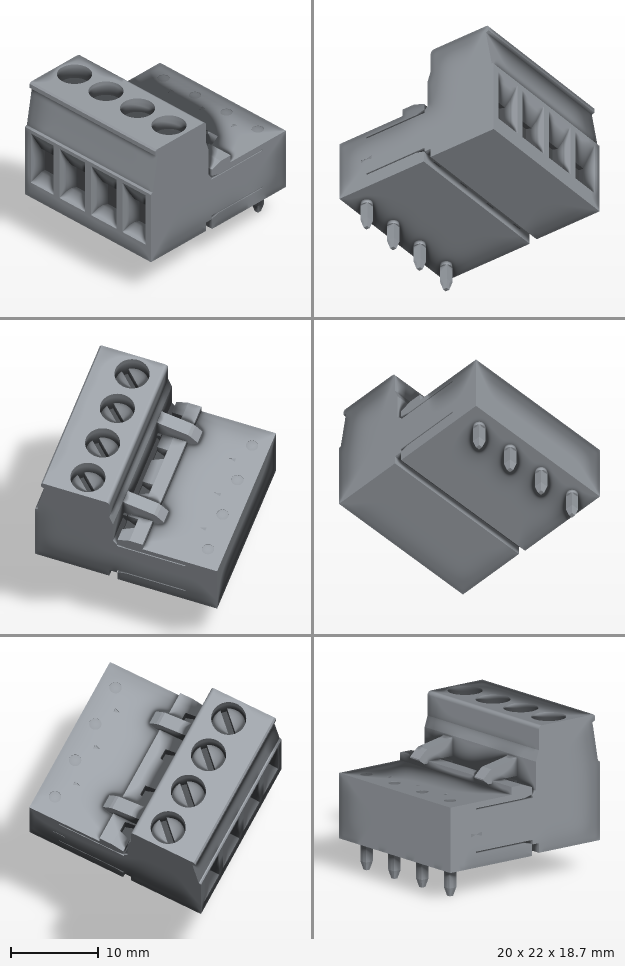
import cadquery as cq


POLES = 4
PITCH = 5.0
WIDTH = POLES * PITCH
POLE_X = [(i - (POLES - 1) / 2) * PITCH for i in range(POLES)]
DEPTH = 22.0
MARK_DEPTH = 0.05

PLUG_BOTTOM = 0.2
PLUG_TOP = 15.15
PLUG_BACK = 8.98
BACK_SHOULDER_Y = 9.42
NECK_ROOT_Y = 9.87
NECK_END_Y = 18.2
NECK_BOTTOM = 1.88
NECK_TOP = 6.8
WIRE_FACE_TOP = 9.55
SLANT_BOTTOM_Y = 0.28
SLANT_TOP_Y = 1.1
SLANT_TOP = 14.25
LIP_FRONT_Y = 0.73
LIP_BOTTOM = 14.4
LIP_CHAMFER = 0.2
WIRE_FACE_CHAMFER = 0.15
BACK_EDGE_RADIUS = 0.45
BACK_SLANT_TOP = 12.28
BACK_SLANT_BOTTOM = 11.0
ROOT_SLANT_TOP = 7.6
ROOT_SLANT_BOTTOM = 7.06
ROOT_STEP_BOTTOM = 1.34

SCREW_Y = 5.5
SCREW_HOLE_DIAMETER = 4.0
SCREW_DIAMETER = 3.78
SCREW_SINK = 1.75
SCREW_HEAD_HEIGHT = 1.2
SLOT_WIDTH = 0.8
SLOT_ANGLE = 45

FUNNEL_WIDTH = 4.05
FUNNEL_BOTTOM = 2.22
FUNNEL_TOP = 8.94
FUNNEL_DEPTH = 1.5
WAIST_WIDTH = 3.75
WAIST_FRACTION = 0.65
THROAT_WIDTH = 3.25
THROAT_BOTTOM = 3.04
THROAT_TOP = 6.24
THROAT_END_WIDTH = 2.75
THROAT_DEPTH = 0.6
END_WALL = 0.9
END_WALL_TAPER = 0.2

LATCH_WIDTH = 1.63
LATCH_X = 5.76
LATCH_UNDERSIDE = 8.62
LATCH_ROOT_TOP = 10.8
LATCH_ROOT_BEND = (9.75, 10.65)
LATCH_TOP_BEND = (13.15, 10.03)
HOOK_SLOPE_START = (13.5, 9.8)
HOOK_NOSE_Y = 14.34
HOOK_NOSE_TOP = 9.04
HOOK_NOSE_BOTTOM = 8.88
HOOK_BOTTOM = 8.33
HOOK_BOTTOM_BACK_Y = 13.57
HOOK_BOTTOM_FRONT_Y = 13.12
HOOK_CATCH_BOTTOM = 8.5
LATCH_RIB_TOP = 8.1

KEY_ROOT_WIDTH = 1.9
KEY_TIP_WIDTH = 1.25
KEY_BOTTOM = 1.0
KEY_CLEARANCE = 0.05

HEADER_FRONT_Y = 9.97
HEADER_TOP = 7.7
RIDGE_TOP = LATCH_UNDERSIDE
RIDGE_BACK_Y = 13.0
RIDGE_SLOPE_Y = 11.4
RIDGE_FRONT_TOP = 8.1
CAVITY_BOTTOM = 1.69
CAVITY_TOP = 6.98
LEAD_IN_Y = 11.05
LEAD_IN_RISE = 0.28
NOTCH_INNER_WIDTH = 1.25
NOTCH_MOUTH_WIDTH = 1.9
NOTCH_END_Y = 11.35

PIN_Y = 20.0
PIN_COLLAR_DIAMETER = 1.4
PIN_COLLAR_HEIGHT = 0.45
PIN_WIDTH = 1.0
PIN_LENGTH = 3.5
PIN_TIP_LENGTH = 1.0
PIN_TIP_WIDTH = 0.5

TOP_ARROW_Y = 18.87
TOP_ARROW_LENGTH = 0.75
TOP_ARROW_WIDTH = 0.5
SIDE_ARROW_Z = 3.88
SIDE_ARROW_LENGTH = 0.75
SIDE_ARROW_WIDTH = 0.45


def side_workplane(x_start):
    """Workplane at X = x_start whose local axes are Y and Z; extrusions go toward +X."""
    return cq.Workplane("YZ", origin=(x_start, 0, 0))


def box(x_range, y_range, z_range):
    sizes = [high - low for low, high in (x_range, y_range, z_range)]
    corner = (x_range[0], y_range[0], z_range[0])
    return cq.Workplane("XY").box(*sizes, centered=False).translate(corner)


def side_arrow(direction):
    """Triangle sunk into the -X face; its tip meets the joint line at the end of the neck."""
    base_y = NECK_END_Y + direction * SIDE_ARROW_LENGTH
    return (
        side_workplane(-WIDTH / 2)
        .moveTo(NECK_END_Y, SIDE_ARROW_Z)
        .lineTo(base_y, SIDE_ARROW_Z + SIDE_ARROW_WIDTH / 2)
        .lineTo(base_y, SIDE_ARROW_Z - SIDE_ARROW_WIDTH / 2)
        .close()
        .extrude(MARK_DEPTH)
    )


def guide_key(x, clearance):
    """Tapered key below the neck; with a clearance it is the groove that receives the key."""
    root = KEY_ROOT_WIDTH / 2 + clearance
    tip = KEY_TIP_WIDTH / 2 + clearance
    bottom = KEY_BOTTOM - clearance
    return (
        cq.Workplane("XZ", origin=(x, NECK_END_Y, 0))
        .moveTo(-root, NECK_BOTTOM)
        .lineTo(root, NECK_BOTTOM)
        .lineTo(tip, bottom)
        .lineTo(-tip, bottom)
        .close()
        .extrude(NECK_END_Y - NECK_ROOT_Y)
    )


def plug_block():
    """Side outline of the plug: tall screw block with a low neck that enters the header."""
    return (
        side_workplane(-WIDTH / 2)
        .moveTo(0, PLUG_BOTTOM)
        .lineTo(0, WIRE_FACE_TOP - WIRE_FACE_CHAMFER)
        .lineTo(WIRE_FACE_CHAMFER, WIRE_FACE_TOP)
        .lineTo(SLANT_BOTTOM_Y, WIRE_FACE_TOP)
        .lineTo(SLANT_TOP_Y, SLANT_TOP)
        .lineTo(LIP_FRONT_Y, LIP_BOTTOM)
        .lineTo(LIP_FRONT_Y, PLUG_TOP - LIP_CHAMFER)
        .lineTo(LIP_FRONT_Y + LIP_CHAMFER, PLUG_TOP)
        .lineTo(PLUG_BACK - BACK_EDGE_RADIUS, PLUG_TOP)
        .radiusArc((PLUG_BACK, PLUG_TOP - BACK_EDGE_RADIUS), BACK_EDGE_RADIUS)
        .lineTo(PLUG_BACK, BACK_SLANT_TOP)
        .lineTo(BACK_SHOULDER_Y, BACK_SLANT_BOTTOM)
        .lineTo(BACK_SHOULDER_Y, ROOT_SLANT_TOP)
        .lineTo(NECK_ROOT_Y, ROOT_SLANT_BOTTOM)
        .lineTo(NECK_ROOT_Y, NECK_TOP)
        .lineTo(NECK_END_Y, NECK_TOP)
        .lineTo(NECK_END_Y, NECK_BOTTOM)
        .lineTo(NECK_ROOT_Y, NECK_BOTTOM)
        .lineTo(NECK_ROOT_Y, ROOT_STEP_BOTTOM)
        .lineTo(PLUG_BACK, ROOT_STEP_BOTTOM)
        .lineTo(PLUG_BACK, PLUG_BOTTOM)
        .close()
        .extrude(WIDTH)
    )


def latch(x):
    """Hooked arm that reaches over the header ridge, with a rib below its root."""
    arm = (
        side_workplane(x - LATCH_WIDTH / 2)
        .moveTo(BACK_SHOULDER_Y, LATCH_ROOT_TOP)
        .lineTo(*LATCH_ROOT_BEND)
        .lineTo(*LATCH_TOP_BEND)
        .lineTo(*HOOK_SLOPE_START)
        .lineTo(HOOK_NOSE_Y, HOOK_NOSE_TOP)
        .lineTo(HOOK_NOSE_Y, HOOK_NOSE_BOTTOM)
        .lineTo(HOOK_BOTTOM_BACK_Y, HOOK_BOTTOM)
        .lineTo(HOOK_BOTTOM_FRONT_Y, HOOK_BOTTOM)
        .lineTo(RIDGE_BACK_Y, HOOK_CATCH_BOTTOM)
        .lineTo(RIDGE_BACK_Y, LATCH_UNDERSIDE)
        .lineTo(BACK_SHOULDER_Y, LATCH_UNDERSIDE)
        .close()
        .extrude(LATCH_WIDTH)
    )
    rib = box(
        (x - LATCH_WIDTH / 2, x + LATCH_WIDTH / 2),
        (PLUG_BACK, NECK_ROOT_Y),
        (ROOT_SLANT_BOTTOM, LATCH_RIB_TOP),
    )
    return arm.union(rib)


def screw_recess(x):
    """Round recess around a slotted screw head that stands on its floor."""
    recess_depth = SCREW_SINK + SCREW_HEAD_HEIGHT
    hole = (
        cq.Workplane("XY", origin=(x, SCREW_Y, PLUG_TOP - recess_depth))
        .circle(SCREW_HOLE_DIAMETER / 2)
        .extrude(recess_depth)
    )
    head_base = cq.Workplane("XY", origin=(x, SCREW_Y, PLUG_TOP - recess_depth))
    head = head_base.circle(SCREW_DIAMETER / 2).extrude(SCREW_HEAD_HEIGHT)
    slot = (
        head_base.transformed(rotate=(0, 0, SLOT_ANGLE))
        .rect(SCREW_HOLE_DIAMETER, SLOT_WIDTH)
        .extrude(SCREW_HEAD_HEIGHT)
    )
    return hole.cut(head.cut(slot))


def tapered_pocket(x_front, x_back, z_front, z_back, y_front, y_back):
    """Rectangular pocket that narrows from y_front to y_back; ranges are (low, high) pairs."""
    front_center = (sum(x_front) / 2, sum(z_front) / 2)
    back_center = (sum(x_back) / 2, sum(z_back) / 2)
    return (
        cq.Workplane("XZ", origin=(0, y_front, 0))
        .center(*front_center)
        .rect(x_front[1] - x_front[0], z_front[1] - z_front[0])
        .workplane(offset=y_front - y_back)
        .center(back_center[0] - front_center[0], back_center[1] - front_center[1])
        .rect(x_back[1] - x_back[0], z_back[1] - z_back[0])
        .loft(ruled=True)
    )


def clipped_range(x, width, wall):
    """X range of an opening centred on a pole, kept clear of the plug's end walls."""
    limit = WIDTH / 2 - wall
    return max(x - width / 2, -limit), min(x + width / 2, limit)


def wire_funnel(x):
    """Wire entry: the sides narrow slowly to a waist, then faster to the throat and its end."""
    throat_wall = END_WALL + END_WALL_TAPER
    waist_wall = END_WALL + END_WALL_TAPER * WAIST_FRACTION
    throat_z = (THROAT_BOTTOM, THROAT_TOP)
    waist_z = (
        FUNNEL_BOTTOM + (THROAT_BOTTOM - FUNNEL_BOTTOM) * WAIST_FRACTION,
        FUNNEL_TOP + (THROAT_TOP - FUNNEL_TOP) * WAIST_FRACTION,
    )
    stations = [
        (0, clipped_range(x, FUNNEL_WIDTH, END_WALL), (FUNNEL_BOTTOM, FUNNEL_TOP)),
        (FUNNEL_DEPTH * WAIST_FRACTION, clipped_range(x, WAIST_WIDTH, waist_wall), waist_z),
        (FUNNEL_DEPTH, clipped_range(x, THROAT_WIDTH, throat_wall), throat_z),
        (FUNNEL_DEPTH + THROAT_DEPTH, clipped_range(x, THROAT_END_WIDTH, throat_wall), throat_z),
    ]
    funnel = cq.Workplane("XY")
    for (y_front, x_front, z_front), (y_back, x_back, z_back) in zip(stations, stations[1:]):
        funnel = funnel.union(tapered_pocket(x_front, x_back, z_front, z_back, y_front, y_back))
    return funnel.clean()


def make_plug():
    plug = plug_block()
    for x in (-LATCH_X, LATCH_X):
        plug = plug.union(latch(x))
    for x in POLE_X:
        plug = plug.union(guide_key(x, 0))
        plug = plug.cut(screw_recess(x))
        plug = plug.cut(wire_funnel(x))
    return plug.cut(side_arrow(-1))


def header_block():
    """C-shaped side outline, open toward the plug, with a latch ridge on the upper lip."""
    return (
        side_workplane(-WIDTH / 2)
        .moveTo(DEPTH, 0)
        .lineTo(DEPTH, HEADER_TOP)
        .lineTo(RIDGE_BACK_Y, HEADER_TOP)
        .lineTo(RIDGE_BACK_Y, RIDGE_TOP)
        .lineTo(RIDGE_SLOPE_Y, RIDGE_TOP)
        .lineTo(HEADER_FRONT_Y, RIDGE_FRONT_TOP)
        .lineTo(HEADER_FRONT_Y, CAVITY_TOP + LEAD_IN_RISE)
        .lineTo(LEAD_IN_Y, CAVITY_TOP)
        .lineTo(NECK_END_Y, CAVITY_TOP)
        .lineTo(NECK_END_Y, CAVITY_BOTTOM)
        .lineTo(LEAD_IN_Y, CAVITY_BOTTOM)
        .lineTo(HEADER_FRONT_Y, CAVITY_BOTTOM - LEAD_IN_RISE)
        .lineTo(HEADER_FRONT_Y, 0)
        .close()
        .extrude(WIDTH)
    )


def lip_notch(x):
    """Notch through the upper lip, flared toward the plug."""
    return (
        cq.Workplane("XY", origin=(x, 0, CAVITY_TOP))
        .moveTo(-NOTCH_MOUTH_WIDTH / 2, HEADER_FRONT_Y)
        .lineTo(NOTCH_MOUTH_WIDTH / 2, HEADER_FRONT_Y)
        .lineTo(NOTCH_INNER_WIDTH / 2, NOTCH_END_Y)
        .lineTo(-NOTCH_INNER_WIDTH / 2, NOTCH_END_Y)
        .close()
        .extrude(RIDGE_TOP - CAVITY_TOP)
    )


def solder_pin(x):
    """Round collar, square shank and tapered tip below the header."""
    collar = (
        cq.Workplane("XY", origin=(x, PIN_Y, 0))
        .circle(PIN_COLLAR_DIAMETER / 2)
        .extrude(-PIN_COLLAR_HEIGHT)
    )
    shank = (
        cq.Workplane("XY", origin=(x, PIN_Y, 0))
        .rect(PIN_WIDTH, PIN_WIDTH)
        .extrude(-(PIN_LENGTH - PIN_TIP_LENGTH))
    )
    tip = (
        cq.Workplane("XY", origin=(x, PIN_Y, -PIN_LENGTH))
        .rect(PIN_TIP_WIDTH, PIN_TIP_WIDTH)
        .workplane(offset=PIN_TIP_LENGTH)
        .rect(PIN_WIDTH, PIN_WIDTH)
        .loft(ruled=True)
    )
    return collar.union(shank).union(tip)


def pin_mark(x):
    """Shallow round recess above each pin."""
    return (
        cq.Workplane("XY", origin=(x, PIN_Y, HEADER_TOP))
        .circle(PIN_COLLAR_DIAMETER / 2)
        .extrude(-MARK_DEPTH)
    )


def top_arrow(x):
    """Triangle sunk into the header top, pointing at the plug."""
    return (
        cq.Workplane("XY", origin=(x, TOP_ARROW_Y, HEADER_TOP))
        .moveTo(-TOP_ARROW_WIDTH / 2, 0)
        .lineTo(TOP_ARROW_WIDTH / 2, 0)
        .lineTo(0, -TOP_ARROW_LENGTH)
        .close()
        .extrude(-MARK_DEPTH)
    )


def make_header():
    header = header_block()
    for x in POLE_X:
        header = header.cut(lip_notch(x))
        header = header.cut(guide_key(x, KEY_CLEARANCE))
        header = header.union(solder_pin(x))
        header = header.cut(pin_mark(x))
    for x in POLE_X[:-1]:
        header = header.cut(top_arrow(x + PITCH / 2))
    return header.cut(side_arrow(1))


plug = make_plug()
header = make_header()
result = cq.Compound.makeCompound([plug.solids().val(), header.solids().val()])